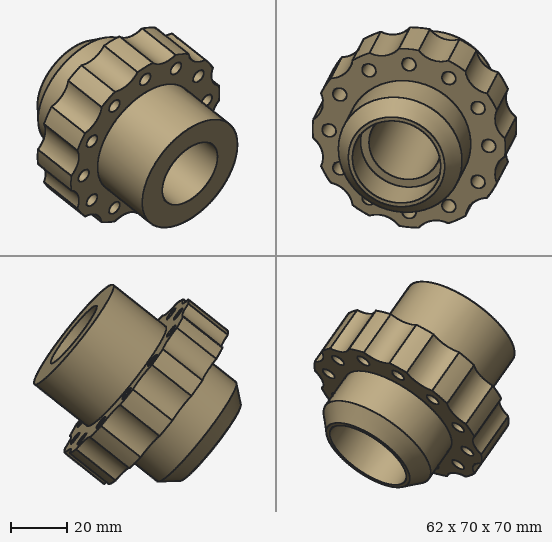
import cadquery as cq
import math

body_length = 62.0
body_radius = 22.45
taper_length = 6.0
taper_end_radius = 17.5

bore_radius = 13.0
counterbore_radius = 16.0
counterbore_depth = 13.4

flange_start = 20.0
flange_width = 18.0
flange_radius = 35.0
lobe_count = 12
lobe_angle = 360 / lobe_count
hole_radius = 2.5
hole_circle_radius = 29.0
scallop_radius = 9.0
scallop_half_angle = 9.1

half_angle = math.radians(scallop_half_angle)
corner_offset = flange_radius * math.sin(half_angle)
corner_distance = flange_radius * math.cos(half_angle)
scallop_circle_radius = corner_distance + math.sqrt(scallop_radius**2 - corner_offset**2)


def cylinder(start, length, radius):
    """Solid cylinder along the X axis."""
    return cq.Workplane("YZ", origin=(start, 0, 0)).circle(radius).extrude(length)


def flange_cutters(circle_radius, radius, first_angle):
    """Ring of cylinders through the flange, one for each lobe."""
    return (
        cq.Workplane("YZ", origin=(flange_start, 0, 0))
        .polarArray(circle_radius, first_angle, 360, lobe_count)
        .circle(radius)
        .extrude(flange_width)
    )


def make_flange():
    flange = cylinder(flange_start, flange_width, flange_radius)
    scallops = flange_cutters(scallop_circle_radius, scallop_radius, lobe_angle / 2)
    holes = flange_cutters(hole_circle_radius, hole_radius, 0)
    return flange.cut(scallops).cut(holes)


def make_body():
    profile = [
        (0, 0),
        (0, taper_end_radius),
        (taper_length, body_radius),
        (body_length, body_radius),
        (body_length, 0),
    ]
    return cq.Workplane("XY").polyline(profile).close().revolve(360, (0, 0, 0), (1, 0, 0))


bore = cylinder(0, body_length, bore_radius)
counterbore = cylinder(0, counterbore_depth, counterbore_radius)
result = make_body().union(make_flange()).cut(bore).cut(counterbore)